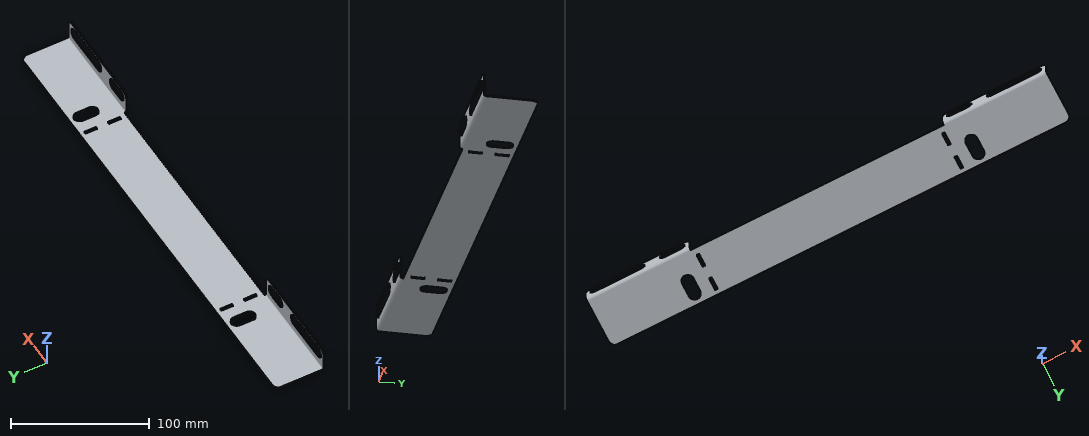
import cadquery as cq

length = 373.0
depth = 41.0
height = 20.0
thickness = 1.2
inner_bend_radius = 1.0
outer_bend_radius = inner_bend_radius + thickness
plate_corner_radius = 5.0

flange_width = 84.0
flange_corner_radius = 5.0

flange_slot_height = 9.0
flange_slot_margin = 3.75
long_slot_length = 44.0
short_slot_length = 20.0

plate_slot_x = 115.0
plate_slot_width = 9.0
plate_slot_length = 19.5
slit_x = 99.5
slit_width = 2.0
slit_length = 9.7
slit_gap = 10.0
opening_margin = 4.0

front_y = -depth / 2
back_y = depth / 2
bend_line_y = front_y + outer_bend_radius
opening_back_y = back_y - opening_margin


def make_plate():
    """Flat plate, ending at the bend line, with rounded back corners."""
    plate = cq.Workplane("XY").box(
        length, back_y - bend_line_y, thickness, centered=(True, False, False)
    )
    plate = plate.translate((0, bend_line_y, 0))
    return plate.edges("|Z and >Y").fillet(plate_corner_radius)


def make_flange(side):
    """Bend and upright flange at one end; side is -1 for left, 1 for right."""
    center_x = side * (length - flange_width) / 2
    flange = (
        cq.Workplane("YZ")
        .moveTo(bend_line_y, 0)
        .radiusArc((front_y, outer_bend_radius), outer_bend_radius)
        .lineTo(front_y, height)
        .lineTo(front_y + thickness, height)
        .lineTo(front_y + thickness, outer_bend_radius)
        .radiusArc((bend_line_y, thickness), -inner_bend_radius)
        .close()
        .extrude(flange_width / 2, both=True)
        .translate((center_x, 0, 0))
    )
    flange = flange.edges("|Y and >Z").fillet(flange_corner_radius)

    slot_z = height - flange_slot_margin - flange_slot_height / 2
    outer_end = length / 2 - flange_slot_margin
    inner_end = length / 2 - flange_width + flange_slot_margin
    long_slot_x = outer_end - long_slot_length / 2
    short_slot_x = inner_end + short_slot_length / 2
    slots = ((long_slot_x, long_slot_length), (short_slot_x, short_slot_length))
    for slot_x, slot_length in slots:
        slot = (
            cq.Workplane("XZ", origin=(0, bend_line_y, 0))
            .center(side * slot_x, slot_z)
            .slot2D(slot_length, flange_slot_height)
            .extrude(outer_bend_radius)
        )
        flange = flange.cut(slot)
    return flange


def make_plate_openings(side):
    """Rounded slot and two narrow slits near one end of the plate."""
    slot = (
        cq.Workplane("XY")
        .center(side * plate_slot_x, opening_back_y - plate_slot_length / 2)
        .slot2D(plate_slot_length, plate_slot_width, 90)
        .extrude(thickness)
    )
    back_slit_y = opening_back_y - slit_length / 2
    front_slit_y = back_slit_y - slit_length - slit_gap
    slits = (
        cq.Workplane("XY")
        .pushPoints([(side * slit_x, back_slit_y), (side * slit_x, front_slit_y)])
        .rect(slit_width, slit_length)
        .extrude(thickness)
    )
    return slot.union(slits)


result = make_plate()
for end in (-1, 1):
    result = result.union(make_flange(end))
    result = result.cut(make_plate_openings(end))